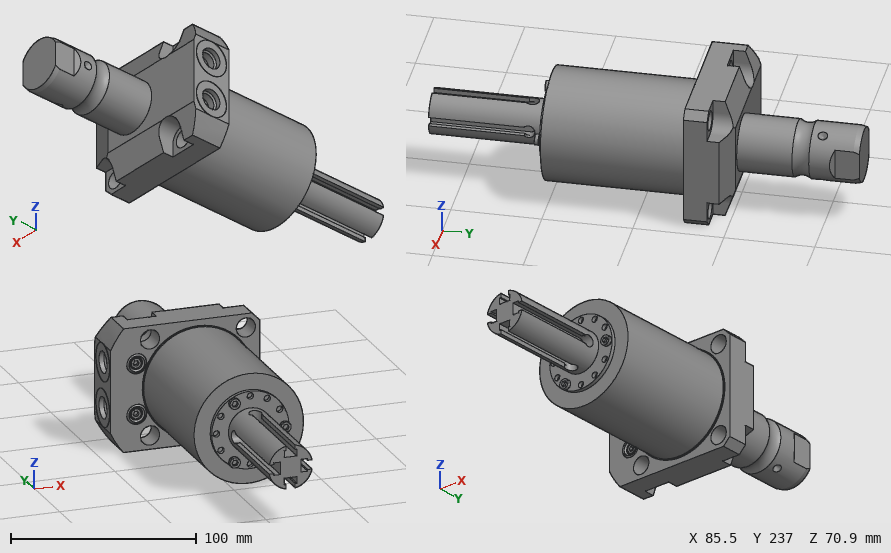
import cadquery as cq
import math


flange_width = 85.5
flange_height = 70.9
flange_thickness = 25.4
flange_right = flange_height / 2
flange_left = flange_right - flange_width
port_side_radius = 55.5
corner_chamfer = 4.5
slope_start = 19.7
slope_drop = 5.7

mount_offset = 27.5
mount_hole_diameter = 11.0
mount_bore_diameter = 16.5
mount_bore_floor = 13.0

port_y = 12.5
port_z = 13.0
port_diameter = 10.5
port_mouth_diameter = 12.3
port_mouth_depth = 3.0
port_depth = 8.3
port_seat_diameter = 21.5
port_seat_depth = 0.2

barrel_diameter = 62.8
barrel_length = 79.5
collar_diameter = 64.0
collar_height = 0.7

rod_diameter = 31.8
rod_tip_y = 92.2
rod_chamfer_length = 3.0
rod_chamfer_depth = 0.7
flat_spacing = 26.5
flat_length = 13.3
neck_length = 9.2
neck_depth = 1.55
neck_from_tip = 27.3
dimple_diameter = 5.2
dimple_from_tip = 21.0
dimple_depth = 2.4
dimple_angles = (60, 180, 300)

cap_diameter = 44.3
cap_thickness = 2.4
cap_hole_count = 12
cap_hole_circle_radius = 19.5
cap_hole_diameter = 3.5
screw_spacing = 4
screw_head_diameter = 6.0
screw_neck_diameter = 4.5
screw_neck_length = 0.7
screw_head_height = 2.1
screw_socket_size = 3.5
screw_socket_depth = 1.7

shaft_diameter = 25.1
overall_length = 237.0
shaft_end_y = rod_tip_y - overall_length
slot_width = 5.2
slot_floor_radius = 6.0
slot_lip_radius = 9.7
slot_inner_width = 7.0
slot_end_from_cap = 8.0

valve_x = -35.0
valve_z = 14.5
valve_diameter = 11.4
valve_length = 11.9
valve_rim_radius = 4.5
valve_rim_chamfer = 1.2
valve_bowl_radius = 3.5
valve_bowl_depth = 1.0
stem_radius = 2.8
stem_gap_depth = 2.4
stem_socket_size = 3.3
stem_socket_depth = 2.0

barrel_end_y = -barrel_length
cap_face_y = barrel_end_y - cap_thickness


def cylinder_along_y(diameter, y_start, y_end, x=0.0, z=0.0):
    """Plain cylinder parallel to Y."""
    return cq.Workplane(
        cq.Solid.makeCylinder(diameter / 2, y_end - y_start, cq.Vector(x, y_start, z), cq.Vector(0, 1, 0))
    )


def hex_along_y(across_corners, y_start, y_end, x, z):
    """Hexagonal prism parallel to Y."""
    plane = cq.Plane(origin=(x, y_start, z), xDir=(1, 0, 0), normal=(0, 1, 0))
    return cq.Workplane(plane).polygon(6, across_corners).extrude(y_end - y_start)


def box_between(x_range, y_range, z_range):
    """Box given by its limits along each axis."""
    sizes = [high - low for low, high in (x_range, y_range, z_range)]
    corner = (x_range[0], y_range[0], z_range[0])
    return cq.Workplane().box(*sizes, centered=False).translate(corner)


def spin_about_y(profile):
    """Revolve a closed radius-against-y profile about the main axis."""
    return profile.close().revolve(360, (0, 0, 0), (0, 1, 0))


def make_slope_cutter():
    """Wedge that slopes the +Y face down towards the +X edge, running the full width in Z."""
    rise = slope_drop / (flange_right - slope_start)
    far_x = 2 * flange_right
    return (
        cq.Workplane("XY")
        .moveTo(slope_start, flange_thickness)
        .lineTo(far_x, flange_thickness - rise * (far_x - slope_start))
        .lineTo(far_x, flange_thickness)
        .close()
        .extrude(flange_width, both=True)
    )


def make_flange():
    half_height = flange_height / 2
    flange = box_between(
        (flange_left, flange_right), (0, flange_thickness), (-half_height, half_height)
    )
    flange = flange.edges("|Y and >X").chamfer(corner_chamfer)
    flange = flange.intersect(cylinder_along_y(2 * port_side_radius, 0, flange_thickness))
    for angle in (-90, 0, 90):
        flange = flange.cut(make_slope_cutter().rotate((0, 0, 0), (0, 1, 0), angle))
    for x in (-mount_offset, mount_offset):
        for z in (-mount_offset, mount_offset):
            flange = flange.cut(cylinder_along_y(mount_hole_diameter, 0, flange_thickness, x, z))
            flange = flange.cut(make_screw_seat(x, z))
    return flange


def make_screw_seat(x, z):
    """Cutter for a screw-head seat, open to the nearest Z side and, near the +X edge, to that side too."""
    radius = mount_bore_diameter / 2
    depth_range = (mount_bore_floor, flange_thickness)
    seat = cylinder_along_y(mount_bore_diameter, *depth_range, x, z)
    outer_z = math.copysign(flange_height, z)
    seat = seat.union(box_between((x - radius, x + radius), depth_range, sorted((z, outer_z))))
    if x > 0:
        inner_z = z - math.copysign(radius, z)
        seat = seat.union(box_between((x, flange_width), depth_range, sorted((inner_z, outer_z))))
    return seat


def make_port(z):
    """Cutter for one port: shallow seal seat, wider mouth, 45-degree step and blind bore."""
    step_length = (port_mouth_diameter - port_diameter) / 2
    profile = (
        cq.Workplane("XY")
        .lineTo(port_depth, 0)
        .lineTo(port_depth, port_diameter / 2)
        .lineTo(port_mouth_depth + step_length, port_diameter / 2)
        .lineTo(port_mouth_depth, port_mouth_diameter / 2)
        .lineTo(port_seat_depth, port_mouth_diameter / 2)
        .lineTo(port_seat_depth, port_seat_diameter / 2)
        .lineTo(0, port_seat_diameter / 2)
        .close()
    )
    return profile.revolve(360, (0, 0, 0), (1, 0, 0)).translate((flange_left, port_y, z))


def make_piston_rod():
    radius = rod_diameter / 2
    neck_top = rod_tip_y - neck_from_tip
    neck_bottom = neck_top - neck_length
    rod = spin_about_y(
        cq.Workplane("XY")
        .lineTo(radius, 0)
        .lineTo(radius, neck_bottom)
        .threePointArc((radius - neck_depth, (neck_top + neck_bottom) / 2), (radius, neck_top))
        .lineTo(radius, rod_tip_y - rod_chamfer_length)
        .lineTo(radius - rod_chamfer_depth, rod_tip_y)
        .lineTo(0, rod_tip_y)
    )
    rod = cut_rod_flats(rod)
    for angle in dimple_angles:
        rod = rod.cut(make_dimple(angle))
    return rod


def cut_rod_flats(rod):
    """Two wrench flats that run out at 45 degrees."""
    flat_x = flat_spacing / 2
    flat_end_y = rod_tip_y - flat_length
    flat = (
        cq.Workplane("XY")
        .moveTo(flat_x, rod_tip_y)
        .lineTo(flat_x, flat_end_y)
        .lineTo(flat_x + rod_diameter, flat_end_y - rod_diameter)
        .lineTo(flat_x + rod_diameter, rod_tip_y)
        .close()
        .extrude(rod_diameter, both=True)
    )
    return rod.cut(flat).cut(flat.mirror("YZ"))


def make_dimple(angle):
    """Cutter for a conical dimple in the rod, placed at an angle from +X towards +Z."""
    radius = rod_diameter / 2
    cone = cq.Solid.makeCone(
        0, dimple_diameter, 2 * dimple_depth,
        cq.Vector(radius - dimple_depth, rod_tip_y - dimple_from_tip, 0), cq.Vector(1, 0, 0),
    )
    return cq.Workplane(cone).rotate((0, 0, 0), (0, 1, 0), -angle)


def make_end_cap():
    """Cap with a ring of holes; every fourth hole is filled by a socket-head screw."""
    cap = cylinder_along_y(cap_diameter, cap_face_y, barrel_end_y)
    neck_y = cap_face_y - screw_neck_length
    head_y = neck_y - screw_head_height
    for index in range(cap_hole_count):
        angle = 2 * math.pi * index / cap_hole_count
        x = cap_hole_circle_radius * math.cos(angle)
        z = cap_hole_circle_radius * math.sin(angle)
        if index % screw_spacing == 0:
            cap = cap.union(cylinder_along_y(screw_neck_diameter, neck_y, cap_face_y, x, z))
            cap = cap.union(cylinder_along_y(screw_head_diameter, head_y, neck_y, x, z))
            cap = cap.cut(hex_along_y(screw_socket_size, head_y, head_y + screw_socket_depth, x, z))
        else:
            cap = cap.cut(cylinder_along_y(cap_hole_diameter, cap_face_y, barrel_end_y, x, z))
    return cap


def make_shaft():
    """Shaft with four T-slots, each wider below its lips and ending in a round pocket."""
    shaft = cylinder_along_y(shaft_diameter, shaft_end_y, cap_face_y)
    slot = make_slot()
    for angle in (0, 90, 180, 270):
        shaft = shaft.cut(slot.rotate((0, 0, 0), (0, 1, 0), angle))
    return shaft


def make_slot():
    """Cutter for the T-slot on the +X side."""
    slot_end_y = cap_face_y - slot_end_from_cap
    y_range = (shaft_end_y, slot_end_y)
    outside = shaft_diameter
    mouth = box_between((slot_lip_radius, outside), y_range, (-slot_width / 2, slot_width / 2))
    inner = box_between(
        (slot_floor_radius, slot_lip_radius), y_range, (-slot_inner_width / 2, slot_inner_width / 2)
    )
    round_end = cq.Workplane(
        cq.Solid.makeCylinder(
            slot_inner_width / 2, outside, cq.Vector(slot_floor_radius, slot_end_y, 0), cq.Vector(1, 0, 0)
        )
    )
    return mouth.union(inner).union(round_end)


def make_housing():
    housing = (
        make_flange()
        .union(cylinder_along_y(collar_diameter, -collar_height, 0))
        .union(cylinder_along_y(barrel_diameter, barrel_end_y, 0))
        .union(make_piston_rod())
        .union(make_end_cap())
        .union(make_shaft())
    )
    for side in (-1, 1):
        housing = housing.cut(make_port(side * port_z))
        housing = housing.cut(cylinder_along_y(valve_diameter, 0, valve_length, valve_x, side * valve_z))
    return housing.solids()


def make_valve(z):
    """Throttle valve: bevelled rim around a bowl, with a socketed stem standing in the middle."""
    body = spin_about_y(
        cq.Workplane("XY")
        .moveTo(0, valve_bowl_depth)
        .lineTo(stem_radius, valve_bowl_depth)
        .lineTo(stem_radius, stem_gap_depth)
        .lineTo(valve_bowl_radius, stem_gap_depth)
        .lineTo(valve_bowl_radius, valve_bowl_depth)
        .lineTo(valve_rim_radius, 0)
        .lineTo(valve_diameter / 2, valve_rim_chamfer)
        .lineTo(valve_diameter / 2, valve_length)
        .lineTo(0, valve_length)
    )
    socket = hex_along_y(stem_socket_size, valve_bowl_depth, valve_bowl_depth + stem_socket_depth, 0, 0)
    return body.cut(socket).translate((valve_x, 0, z)).solids()


housing = make_housing()
valves = [make_valve(side * valve_z) for side in (-1, 1)]

result = cq.Compound.makeCompound([housing.val(), *[valve.val() for valve in valves]])